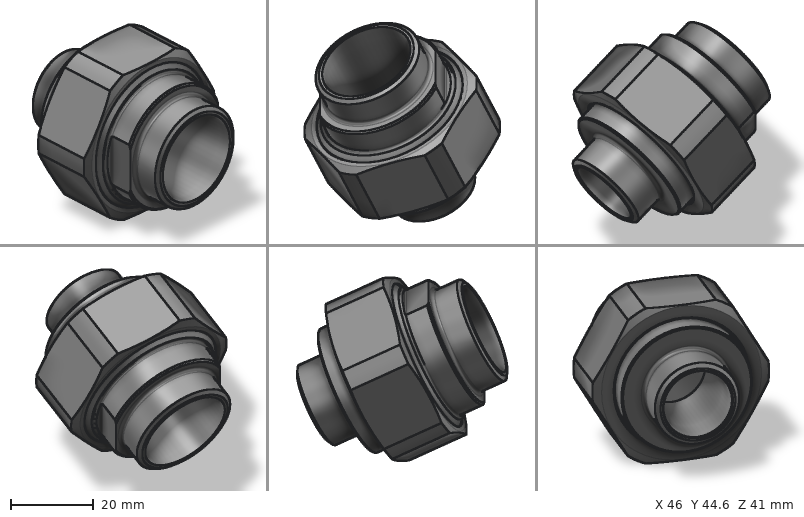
import cadquery as cq
import math

total_length = 46.0
tail_face_x = 9.0
nut_start_x = 13.55
joint_x = 22.1
nut_end_x = 30.55
thread_end_x = 31.55
shoulder_x = 38.45

tail_bore_dia = 17.3
tail_pipe_dia = 21.3
flange_dia = 33.0
flange_chamfer = 0.3
bore_chamfer = 0.2
tail_bevel_length = 0.75
tail_bevel_depth = 1.2

body_bore_dia = 22.9
body_pipe_dia = 26.9
wrench_dia = 33.0
wrench_flats = 29.95
wrench_start_x = 32.1
wrench_chamfer = 0.45
wrench_fillet = 0.35
neck_fillet = 0.7
thread_dia = 37.85
thread_chamfer = 1.4
body_bevel_length = 0.7
body_bevel_depth = 1.15
pipe_fillet = 0.9

across_flats = 41.0
corner_dia = 44.65
nut_face_dia = 40.4
nut_bevel_length = 0.7
nut_hole_dia = 33.5
nut_hole_chamfer = 0.4


def revolve_about_x(profile):
    """Revolve a closed (X, radius) profile a full turn about the X axis."""
    return profile.close().revolve(360, (0, 0, 0), (1, 0, 0))


def fillet_middle(center_x, center_r, radius, x_sign):
    """Middle point of a quarter-round root fillet, on the side toward the axis."""
    offset = radius * math.sqrt(0.5)
    return (center_x + x_sign * offset, center_r - offset)


def x_cylinder(diameter, start_x, end_x):
    return cq.Workplane("YZ", origin=(start_x, 0, 0)).circle(diameter / 2).extrude(end_x - start_x)


def make_tail_piece():
    bore_r = tail_bore_dia / 2
    pipe_r = tail_pipe_dia / 2
    flange_r = flange_dia / 2
    fillet_x = tail_face_x - pipe_fillet
    fillet_r = pipe_r + pipe_fillet
    return revolve_about_x(
        cq.Workplane("XY")
        .moveTo(bore_chamfer, bore_r)
        .lineTo(0, bore_r + bore_chamfer)
        .lineTo(0, pipe_r - tail_bevel_depth)
        .lineTo(tail_bevel_length, pipe_r)
        .lineTo(fillet_x, pipe_r)
        .threePointArc(fillet_middle(fillet_x, fillet_r, pipe_fillet, 1), (tail_face_x, fillet_r))
        .lineTo(tail_face_x, flange_r - flange_chamfer)
        .lineTo(tail_face_x + flange_chamfer, flange_r)
        .lineTo(joint_x, flange_r)
        .lineTo(joint_x, bore_r)
    )


def wrench_flat_cutter(side):
    """Block that removes one wrench flat; side is +1 or -1 along Y."""
    depth = (thread_dia - wrench_flats) / 2
    length = shoulder_x - wrench_start_x
    flat_y = side * wrench_flats / 2
    center = (wrench_start_x + length / 2, flat_y + side * depth / 2, 0)
    block = cq.Workplane("XY", origin=center).box(length, depth, thread_dia)
    root_edge = cq.selectors.NearestToPointSelector((wrench_start_x, flat_y, 0))
    return block.edges(root_edge).fillet(wrench_fillet)


def make_body():
    bore_r = body_bore_dia / 2
    pipe_r = body_pipe_dia / 2
    wrench_r = wrench_dia / 2
    thread_r = thread_dia / 2
    neck_x = thread_end_x + neck_fillet
    neck_r = wrench_r + neck_fillet
    fillet_x = shoulder_x + pipe_fillet
    fillet_r = pipe_r + pipe_fillet
    body = revolve_about_x(
        cq.Workplane("XY")
        .moveTo(joint_x, bore_r)
        .lineTo(joint_x, thread_r)
        .lineTo(thread_end_x - thread_chamfer, thread_r)
        .lineTo(thread_end_x, thread_r - thread_chamfer)
        .lineTo(thread_end_x, neck_r)
        .threePointArc(fillet_middle(neck_x, neck_r, neck_fillet, -1), (neck_x, wrench_r))
        .lineTo(shoulder_x - wrench_chamfer, wrench_r)
        .lineTo(shoulder_x, wrench_r - wrench_chamfer)
        .lineTo(shoulder_x, fillet_r)
        .threePointArc(fillet_middle(fillet_x, fillet_r, pipe_fillet, -1), (fillet_x, pipe_r))
        .lineTo(total_length - body_bevel_length, pipe_r)
        .lineTo(total_length, pipe_r - body_bevel_depth)
        .lineTo(total_length, bore_r)
    )
    for side in (1, -1):
        body = body.cut(wrench_flat_cutter(side))
    return body


def make_nut():
    hexagon = (
        cq.Workplane("YZ", origin=(nut_start_x, 0, 0))
        .polygon(6, across_flats / math.cos(math.pi / 6))
        .extrude(nut_end_x - nut_start_x)
    )
    corner_r = corner_dia / 2
    face_r = nut_face_dia / 2
    turned_blank = revolve_about_x(
        cq.Workplane("XY")
        .moveTo(nut_start_x, 0)
        .lineTo(nut_start_x, face_r)
        .lineTo(nut_start_x + nut_bevel_length, corner_r)
        .lineTo(nut_end_x - nut_bevel_length, corner_r)
        .lineTo(nut_end_x, face_r)
        .lineTo(nut_end_x, 0)
    )
    hole = x_cylinder(nut_hole_dia, nut_start_x, joint_x)
    hole = hole.union(x_cylinder(thread_dia, joint_x, nut_end_x))
    hole_r = nut_hole_dia / 2
    hole_bevel = revolve_about_x(
        cq.Workplane("XY")
        .moveTo(nut_start_x, 0)
        .lineTo(nut_start_x, hole_r + nut_hole_chamfer)
        .lineTo(nut_start_x + nut_hole_chamfer, hole_r)
        .lineTo(nut_start_x + nut_hole_chamfer, 0)
    )
    return hexagon.intersect(turned_blank).cut(hole).cut(hole_bevel)


tail_piece = make_tail_piece()
body = make_body()
nut = make_nut()

result = cq.Compound.makeCompound([tail_piece.val(), body.solids().val(), nut.solids().val()])